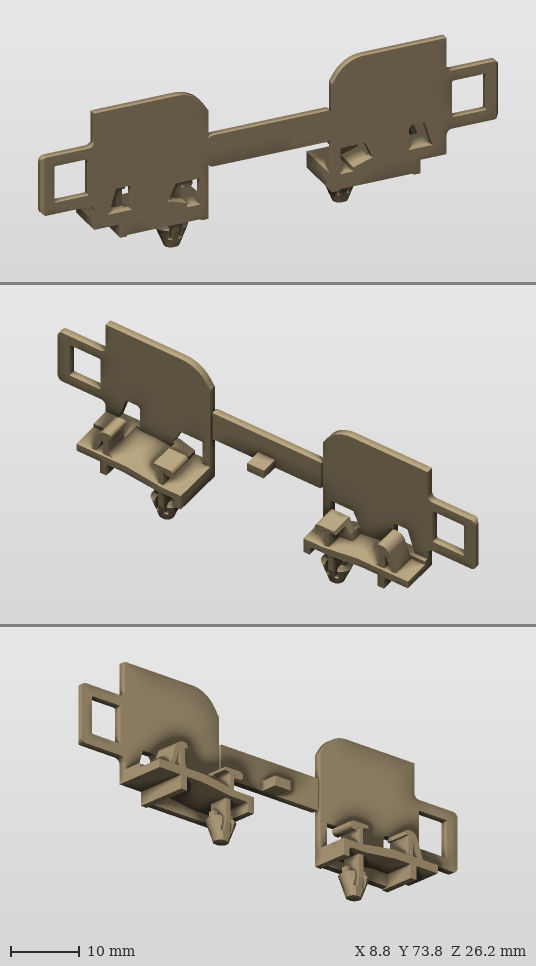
import cadquery as cq

total_length = 73.8
wall = 1.2
half_length = total_length / 2

plate_outer_y = 28.4
plate_inner_y = 9.95
plate_top_z = 26.2
plate_corner_radius = 5.2
corner_arc_y = (15.05, 10.8)
corner_arc_end_z = 23.9
corner_end_z = 22.65

tab_bottom_z = 11.15
tab_top_z = 20.7
tab_radius = 0.9
tab_bevel = 0.48
tab_window_y = (29.3, 34.8)
tab_window_z = (13.0, 19.0)
tab_window_radius = 0.2

long_shelf_depth = 8.8
short_shelf_depth = 6.3
shelf_top_z = 8.5
shelf_bottom_z = 7.15
low_top_z = 7.6
low_bottom_z = 6.5
top_slope_y = (19.5, 13.4)
bottom_slope_y = (20.3, 14.4)
leg_bottom_z = 4.95
leg_y = (23.1, 24.2)
end_wall_y = 11.1
end_wall_radius = 0.5
web_bottom_z = 5.2

hook_setback = 0.45
hook_width = 4.0
hook_root_z = 7.4
step_top_z = 9.15

crest_z = 12.7
crest_radius = 1.5
lip_radius = 0.5
lip_bottom_z = 11.8
lip_y = 22.6
upright_y = 23.0
root_radius = 1.0
lean_foot_y = 26.0
lean_top_y = 24.5
gap_foot_y = 25.2
gap_top_y = 24.2
gap_inner_y = 24.0
gap_top_z = 10.9

post_y = (13.4, 14.2)
head_top_z = 11.15
head_bottom_z = 10.55
nose_radius = 0.7
nose_y = 12.3
throat_y = 13.1
throat_bend = 0.45
head_back_y = 15.05
gusset_width = 1.3
gusset_foot_y = 16.8
gusset_step_y = 16.15
gusset_head_y = 15.35
wedge_low_z = 8.3

outer_window_y = (22.35, 26.1)
outer_window_top_y = (22.7, 24.9)
outer_window_top_z = 13.1
inner_window_foot_y = 16.5
inner_window_top_y = 15.3
inner_window_end_y = 11.3
inner_window_top_z = 11.9

foot_y = 14.2
foot_inset = 2.5
tip_radii = (1.1, 1.2)
barb_radii = (1.9, 2.5)
barb_z = 3.2
barb_top_radii = (1.5, 2.0)
barb_top_z = 3.7
foot_half_width = 1.6
foot_tip_half_width = 1.0
foot_taper_z = 2.8
stem_half = 0.45
arm_inner = 1.1
slot_bottom_z = 1.4
stem_top_z = 6.8
prong_y = (1.25, 1.85)
prong_width = 1.0
prong_top_z = 4.5

bar_bottom_z = 13.35
bar_top_z = 18.45
bar_radius = 0.7
bar_bevel_x = 0.7
bar_bevel_y = 0.45
peg_width = 2.95
peg_reach = 4.05
peg_top_z = 14.9


def profile_at(x):
    """Sketch plane at the given X: local axes are Y and Z, extrusion runs toward +X."""
    return cq.Workplane("YZ", origin=(x, 0, 0))


def block(x, y, z):
    """Box between the low and high values of each axis."""
    size = (x[1] - x[0], y[1] - y[0], z[1] - z[0])
    return cq.Workplane("XY").box(*size, centered=False).translate((x[0], y[0], z[0]))


def make_plate():
    body = (
        profile_at(-wall)
        .moveTo(plate_outer_y, plate_top_z)
        .lineTo(corner_arc_y[0], plate_top_z)
        .radiusArc((corner_arc_y[1], corner_arc_end_z), -plate_corner_radius)
        .lineTo(plate_inner_y, corner_end_z)
        .lineTo(plate_inner_y, shelf_bottom_z)
        .lineTo(plate_outer_y, shelf_bottom_z)
        .close()
        .extrude(wall)
    )
    tab = block((-wall, 0), (plate_outer_y, half_length), (tab_bottom_z, tab_top_z))
    plate = body.union(tab)
    for z in (tab_bottom_z, tab_top_z):
        junction = cq.selectors.NearestToPointSelector((-wall / 2, plate_outer_y, z))
        plate = plate.edges(junction).fillet(tab_radius)
    plate = plate.edges("|X and >Y").fillet(tab_radius)
    window = block((-wall, 0), tab_window_y, tab_window_z).edges("|X").fillet(tab_window_radius)
    web = block((-wall, 0), (end_wall_y, leg_y[1]), (web_bottom_z, shelf_bottom_z))
    bevel = (
        cq.Workplane("XY")
        .polyline([(0, half_length), (-tab_bevel, half_length), (0, half_length - tab_bevel)])
        .close()
        .extrude(plate_top_z)
    )
    return plate.cut(window).cut(bevel).cut(outer_hook_window()).cut(inner_hook_window()).union(web)


def outer_hook_window():
    low_y, high_y = outer_window_y
    corners = [
        (high_y, step_top_z),
        (outer_window_top_y[1], outer_window_top_z),
        (outer_window_top_y[0], outer_window_top_z),
        (low_y, crest_z),
        (low_y, step_top_z),
    ]
    return profile_at(-wall).polyline(corners).close().extrude(wall)


def inner_hook_window():
    """Opening behind the inner hook; its lower edge follows the wedge beside the hook."""
    corners = [
        (inner_window_foot_y, step_top_z),
        (inner_window_top_y, inner_window_top_z),
        (inner_window_end_y, inner_window_top_z),
        (inner_window_end_y, low_top_z),
        (post_y[0], low_top_z),
        (post_y[0], wedge_low_z),
        (gusset_step_y, step_top_z),
    ]
    return profile_at(-wall).polyline(corners).close().extrude(wall)


def make_shelf(depth):
    outline = [
        (plate_outer_y, shelf_bottom_z),
        (plate_outer_y, shelf_top_z),
        (top_slope_y[0], shelf_top_z),
        (top_slope_y[1], low_top_z),
        (plate_inner_y, low_top_z),
        (plate_inner_y, leg_bottom_z),
        (end_wall_y, leg_bottom_z),
        (end_wall_y, low_bottom_z),
        (bottom_slope_y[1], low_bottom_z),
        (bottom_slope_y[0], shelf_bottom_z),
        (leg_y[0], shelf_bottom_z),
        (leg_y[0], leg_bottom_z),
        (leg_y[1], leg_bottom_z),
        (leg_y[1], shelf_bottom_z),
    ]
    shelf = profile_at(-depth).polyline(outline).close().extrude(depth)
    inner_corner = cq.selectors.NearestToPointSelector((-depth / 2, end_wall_y, low_bottom_z))
    return shelf.edges(inner_corner).fillet(end_wall_radius)


def root_fillet(x, length):
    """Concave fillet from the outer hook's upright face down to the shelf."""
    toe_y = upright_y - root_radius
    corner = profile_at(x).moveTo(toe_y, hook_root_z).lineTo(toe_y, shelf_top_z)
    corner = corner.radiusArc((upright_y, shelf_top_z + root_radius), -root_radius)
    return corner.lineTo(upright_y, hook_root_z).close().extrude(length)


def make_outer_hook(x):
    crest_edge = cq.selectors.NearestToPointSelector((x + hook_width / 2, lean_top_y, crest_z))
    lip_edge = cq.selectors.NearestToPointSelector((x + hook_width / 2, lip_y, crest_z))
    outline = [
        (lean_foot_y, shelf_top_z),
        (lean_top_y, crest_z),
        (lip_y, crest_z),
        (lip_y, lip_bottom_z),
        (upright_y, lip_bottom_z),
        (upright_y, hook_root_z),
        (lean_foot_y, hook_root_z),
    ]
    hook = profile_at(x).polyline(outline).close().extrude(hook_width)
    hook = hook.edges(crest_edge).fillet(crest_radius)
    hook = hook.edges(lip_edge).fillet(lip_radius)
    gap = [
        (gap_foot_y, shelf_top_z),
        (gap_top_y, gap_top_z),
        (gap_inner_y, gap_top_z),
        (gap_inner_y, shelf_top_z),
    ]
    hook = hook.cut(profile_at(x).polyline(gap).close().extrude(hook_width))
    return hook.union(root_fillet(x, hook_width))


def make_step(x):
    """Raised ledge between the outer hook and the back of the wall, filleted like the hook."""
    ledge = block((x, 0), (upright_y, plate_outer_y), (hook_root_z, step_top_z))
    toe = root_fillet(x, -x).intersect(
        block((x, 0), (upright_y - root_radius, upright_y), (hook_root_z, step_top_z))
    )
    return ledge.union(toe)


def make_inner_hook(x):
    nose_bottom_z = head_top_z - 2 * nose_radius
    throat_z = nose_bottom_z + throat_bend
    return (
        profile_at(x)
        .moveTo(gusset_head_y, head_bottom_z)
        .lineTo(head_back_y, head_top_z)
        .lineTo(nose_y, head_top_z)
        .radiusArc((nose_y - nose_radius, head_top_z - nose_radius), -nose_radius)
        .radiusArc((nose_y, nose_bottom_z), -nose_radius)
        .lineTo(throat_y - throat_bend, nose_bottom_z)
        .radiusArc((throat_y, throat_z), -throat_bend)
        .lineTo(post_y[0], throat_z)
        .lineTo(post_y[0], hook_root_z)
        .lineTo(post_y[1], hook_root_z)
        .lineTo(post_y[1], head_bottom_z - throat_bend)
        .radiusArc((post_y[1] + throat_bend, head_bottom_z), throat_bend)
        .close()
        .extrude(hook_width)
    )


def make_gusset(x):
    outline = [
        (post_y[0], hook_root_z),
        (gusset_foot_y, hook_root_z),
        (gusset_step_y, step_top_z),
        (gusset_head_y, head_bottom_z),
        (post_y[0], head_bottom_z),
    ]
    return profile_at(x).polyline(outline).close().extrude(gusset_width)


def make_wedge(x):
    """Sloping rise between the inner hook and the plate."""
    outline = [
        (post_y[0], hook_root_z),
        (gusset_foot_y, hook_root_z),
        (gusset_step_y, step_top_z),
        (post_y[0], wedge_low_z),
    ]
    return profile_at(x).polyline(outline).close().extrude(-wall - x)


def oval_cone(low_z, low_radii, high_z, high_radii):
    """Tapering solid between two ellipses, each given by its X and Y radii."""
    base = cq.Workplane("XY", origin=(0, 0, low_z)).ellipse(*low_radii)
    return base.workplane(offset=high_z - low_z).ellipse(*high_radii).loft()


def make_foot(x):
    """Split oval snap foot with flattened front and back, centred on the given X."""
    cone = oval_cone(0, tip_radii, barb_z, barb_radii)
    cone = cone.union(oval_cone(barb_z, barb_radii, barb_top_z, barb_top_radii))
    split_x = (-barb_radii[0], barb_radii[0])
    cone = cone.cut(block(split_x, (-arm_inner, arm_inner), (slot_bottom_z, barb_top_z)))
    stem_x = (-foot_half_width, foot_half_width)
    stem = block(stem_x, (-stem_half, stem_half), (slot_bottom_z, stem_top_z))
    envelope = [
        (-foot_tip_half_width, 0),
        (foot_tip_half_width, 0),
        (foot_half_width, foot_taper_z),
        (foot_half_width, stem_top_z),
        (-foot_half_width, stem_top_z),
        (-foot_half_width, foot_taper_z),
    ]
    flats = cq.Workplane("XZ").polyline(envelope).close().extrude(barb_radii[1], both=True)
    foot = cone.union(stem).intersect(flats)
    for side in (1, -1):
        prong_ends = sorted((side * prong_y[0], side * prong_y[1]))
        foot = foot.union(block((-prong_width / 2, prong_width / 2), prong_ends, (barb_z, prong_top_z)))
    return foot.translate((x, foot_y, 0))


def make_bracket(shelf_depth):
    hook_x = -shelf_depth + hook_setback
    hook_end_x = hook_x + hook_width
    foot_x = -shelf_depth + foot_inset
    bracket = make_plate().union(make_shelf(shelf_depth))
    bracket = bracket.union(make_outer_hook(hook_x)).union(make_step(hook_end_x))
    bracket = bracket.union(make_inner_hook(hook_x)).union(make_wedge(hook_end_x))
    bracket = bracket.union(make_gusset(hook_end_x - gusset_width))
    return bracket.union(make_foot(foot_x))


def make_bar():
    half = plate_inner_y
    bar = block((-wall, 0), (-half, half), (bar_bottom_z, bar_top_z)).edges("|X").fillet(bar_radius)
    for end in (half, -half):
        inward = end * (1 - bar_bevel_y / half)
        corners = [(-wall, end), (bar_bevel_x - wall, end), (-wall, inward)]
        bar = bar.cut(cq.Workplane("XY").polyline(corners).close().extrude(plate_top_z))
    peg = block((-peg_reach, -wall), (-peg_width / 2, peg_width / 2), (bar_bottom_z, peg_top_z))
    return bar.union(peg)


long_bracket = make_bracket(long_shelf_depth)
short_bracket = make_bracket(short_shelf_depth).mirror("XZ")
bar = make_bar()

result = cq.Compound.makeCompound([long_bracket.val(), short_bracket.val(), bar.val()])